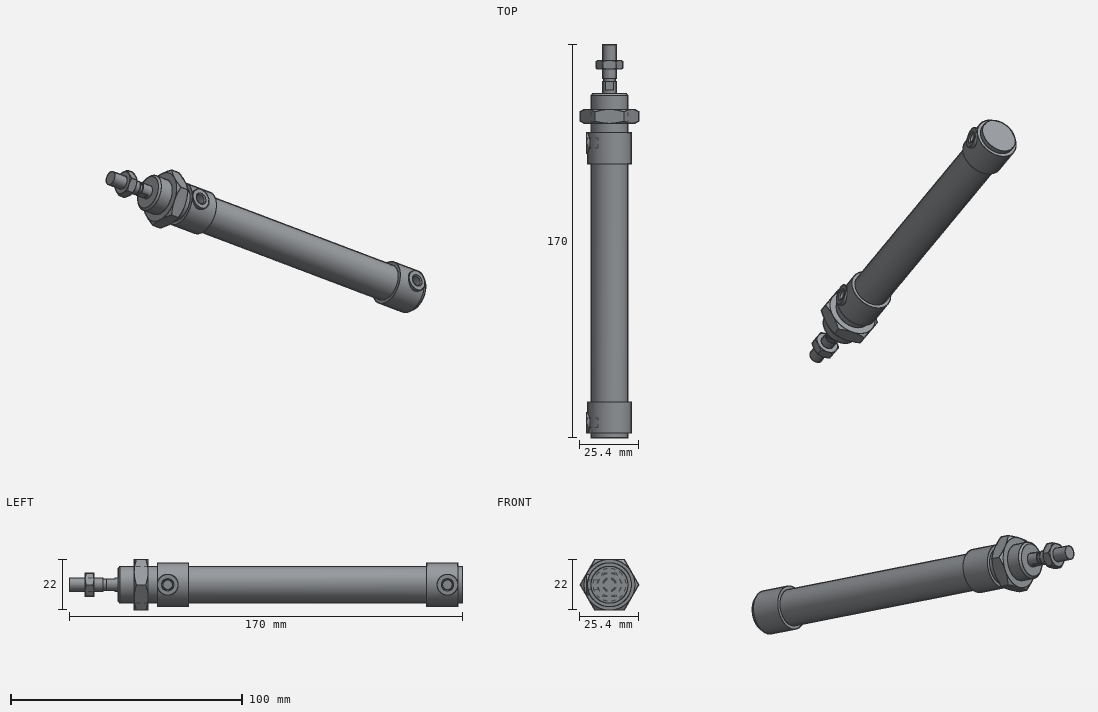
import cadquery as cq
import math


rod_diameter = 6.0
rod_neck_diameter = 5.0
rod_flats_width = 5.0
rod_tip_y = 38.0
thread_length = 14.5
rod_neck_length = 1.5
flats_length = 3.6

barrel_diameter = 16.0
cap_diameter = 19.0
total_length = 170.0
cap_length = 13.5
tail_length = 2.0
collar_length = 17.0
collar_chamfer = 0.9

port_boss_diameter = 9.0
port_face_x = -10.0
port_hole_diameter = 4.2
port_hole_depth = 5.0
port_mouth_diameter = 5.3

mounting_nut_width = 22.0
mounting_nut_thickness = 6.0
mounting_nut_face_diameter = 22.0
mounting_nut_back_y = 4.0
rod_nut_width = 10.0
rod_nut_thickness = 3.8
rod_nut_face_diameter = 10.0
rod_nut_back_y = 27.4
nut_chamfer_angle = 30.0
hexagon_half_angle = 30.0

rear_end_y = rod_tip_y - total_length
rear_cap_back_y = rear_end_y + tail_length
neck_front_y = rod_tip_y - thread_length
neck_back_y = neck_front_y - rod_neck_length


def cylinder(diameter, start_y, end_y):
    """Cylinder on the Y axis between two stations."""
    plane = cq.Plane(origin=(0, start_y, 0), xDir=(1, 0, 0), normal=(0, 1, 0))
    return cq.Workplane(plane).circle(diameter / 2).extrude(end_y - start_y)


def port_cylinder(diameter, center_y, start_x, end_x):
    """Cylinder along X at Z = 0 between two stations."""
    plane = cq.Plane(origin=(start_x, center_y, 0), xDir=(0, 1, 0), normal=(1, 0, 0))
    return cq.Workplane(plane).circle(diameter / 2).extrude(end_x - start_x)


def make_port_hole(center_y):
    """Cutter for a blind port hole with a 45 degree countersunk mouth."""
    hole_radius = port_hole_diameter / 2
    mouth_radius = port_mouth_diameter / 2
    countersink_end_x = port_face_x + mouth_radius - hole_radius
    bottom_x = port_face_x + port_hole_depth
    profile = [
        (port_face_x, center_y),
        (port_face_x, center_y + mouth_radius),
        (countersink_end_x, center_y + hole_radius),
        (bottom_x, center_y + hole_radius),
        (bottom_x, center_y),
    ]
    axis_start = (port_face_x, center_y, 0)
    axis_end = (bottom_x, center_y, 0)
    return cq.Workplane("XY").polyline(profile).close().revolve(360, axis_start, axis_end)


def make_housing():
    """Barrel with both caps, threaded collar and air ports."""
    body = cylinder(barrel_diameter, rear_end_y, collar_length).faces(">Y").chamfer(collar_chamfer)
    body = body.union(cylinder(cap_diameter, -cap_length, 0))
    body = body.union(cylinder(cap_diameter, rear_cap_back_y, rear_cap_back_y + cap_length))
    boss_radius = port_boss_diameter / 2
    for port_y in (-boss_radius, rear_cap_back_y + boss_radius):
        body = body.union(port_cylinder(port_boss_diameter, port_y, port_face_x, 0))
        body = body.cut(make_port_hole(port_y))
    return body


def make_rod():
    """Rod standing on the collar face, with a thread relief neck and two wrench flats facing +Z and -Z."""
    rod = cylinder(rod_diameter, collar_length, neck_back_y)
    flats = cq.Workplane("XY").box(rod_diameter, flats_length, rod_diameter)
    flats = flats.cut(cq.Workplane("XY").box(rod_diameter, flats_length, rod_flats_width))
    rod = rod.cut(flats.translate((0, neck_back_y - flats_length / 2, 0)))
    rod = rod.union(cylinder(rod_neck_diameter, neck_back_y, neck_front_y))
    return rod.union(cylinder(rod_diameter, neck_front_y, rod_tip_y))


def hexagon_nut(width, thickness, face_diameter, bore, back_y):
    """Hexagon nut on the Y axis, corners on +X and -X, both ends turned conically to face_diameter."""
    plane = cq.Plane(origin=(0, back_y, 0), xDir=(1, 0, 0), normal=(0, 1, 0))
    corner_radius = width / 2 / math.cos(math.radians(hexagon_half_angle))
    prism = cq.Workplane(plane).polygon(6, 2 * corner_radius).extrude(thickness)
    face_radius = face_diameter / 2
    drop = (corner_radius - face_radius) * math.tan(math.radians(nut_chamfer_angle))
    front_y = back_y + thickness
    profile = [
        (0, back_y),
        (face_radius, back_y),
        (corner_radius, back_y + drop),
        (corner_radius, front_y - drop),
        (face_radius, front_y),
        (0, front_y),
    ]
    envelope = cq.Workplane("XY").polyline(profile).close().revolve(360, (0, 0, 0), (0, 1, 0))
    return prism.intersect(envelope).cut(cylinder(bore, back_y, front_y))


def make_mounting_nut():
    """Large nut on the collar."""
    return hexagon_nut(
        mounting_nut_width,
        mounting_nut_thickness,
        mounting_nut_face_diameter,
        barrel_diameter,
        mounting_nut_back_y,
    )


def make_rod_nut():
    """Thin nut on the rod thread."""
    return hexagon_nut(
        rod_nut_width,
        rod_nut_thickness,
        rod_nut_face_diameter,
        rod_diameter,
        rod_nut_back_y,
    )


housing = make_housing()
rod = make_rod()
mounting_nut = make_mounting_nut()
rod_nut = make_rod_nut()

result = cq.Compound.makeCompound([housing.val(), rod.val(), mounting_nut.val(), rod_nut.val()])